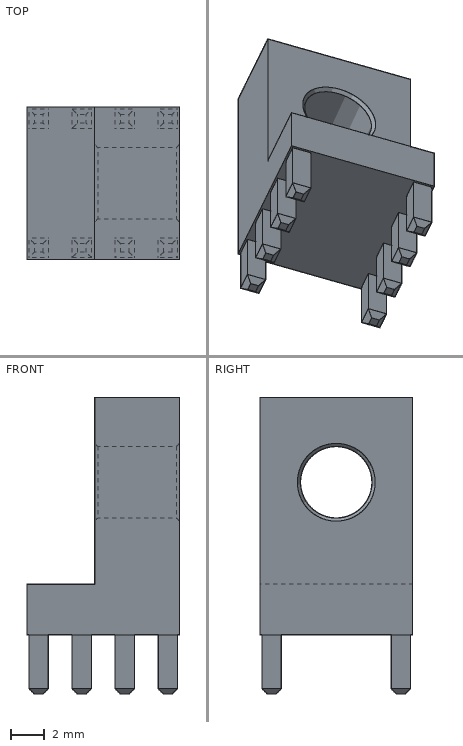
import cadquery as cq

height = 17.5
side = 9.0
base_height = 3.0
upright_thickness = 5.0
pin_length = 3.5
pin_width = 1.15
pin_pitch = 2.54
pins_per_row = 4
pin_tip_chamfer = 0.33
hole_diameter = 4.2
hole_chamfer = 0.2
hole_below_top = 5.0

body_height = height - pin_length
row_spacing = (pins_per_row - 1) * pin_pitch


def make_body():
    """L-shaped block standing on Z = 0, with the upright on the +X side."""
    step_x = side / 2 - upright_thickness
    outline = [
        (-side / 2, 0),
        (side / 2, 0),
        (side / 2, body_height),
        (step_x, body_height),
        (step_x, base_height),
        (-side / 2, base_height),
    ]
    return cq.Workplane("XZ").polyline(outline).close().extrude(side / 2, both=True)


def drill_hole(body):
    """Cut the through hole along X and chamfer both of its rims."""
    drill = (
        cq.Workplane("YZ", origin=(-side / 2, 0, 0))
        .center(0, body_height - hole_below_top)
        .circle(hole_diameter / 2)
        .extrude(side)
    )
    return body.cut(drill).edges("%CIRCLE").chamfer(hole_chamfer)


def make_pins():
    """Two rows of square pins along X, with chamfered tips."""
    return (
        cq.Workplane("XY")
        .rarray(pin_pitch, row_spacing, pins_per_row, 2)
        .rect(pin_width, pin_width)
        .extrude(-pin_length)
        .faces("<Z")
        .edges()
        .chamfer(pin_tip_chamfer)
    )


result = drill_hole(make_body()).union(make_pins())